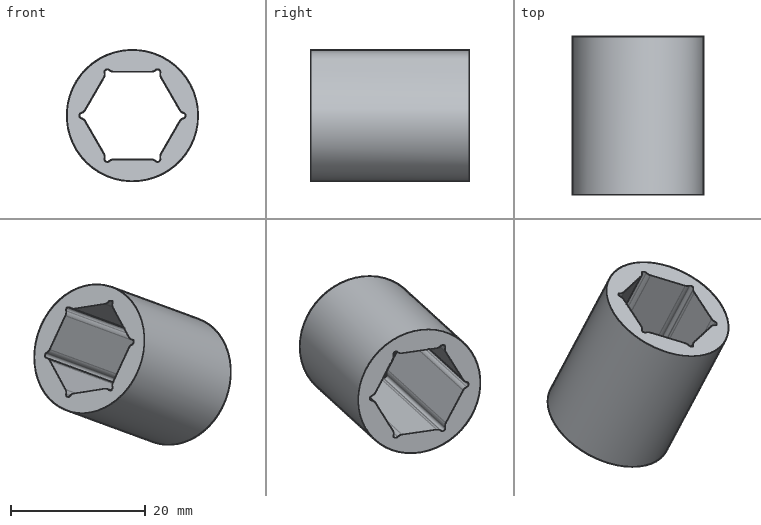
import cadquery as cq
import math

length = 23.53
outer_diameter = 19.53
across_flats = 12.97
groove_radius = 0.4
groove_center_radius = 7.45
blend_radius = 1.01

SIDES = 6
corner_angle = 360 / SIDES
half_corner = math.radians(corner_angle / 2)

flat_distance = across_flats / 2
blend_normal = flat_distance + blend_radius
groove_normal = groove_center_radius * math.cos(half_corner)
center_spacing = blend_radius + groove_radius
groove_along = groove_center_radius * math.sin(half_corner)
blend_along = groove_along - math.sqrt(center_spacing**2 - (blend_normal - groove_normal)**2)


def flat_to_section(normal, along):
    """Convert flat coordinates to section coordinates centred on the bore."""
    x = normal * math.cos(half_corner) + along * math.sin(half_corner)
    y = normal * math.sin(half_corner) - along * math.cos(half_corner)
    return x, y


def point_towards(start, end, distance):
    """Point at a distance from start on the line to end."""
    fraction = distance / math.dist(start, end)
    return tuple(a + (b - a) * fraction for a, b in zip(start, end))


def mirrored(point):
    return point[0], -point[1]


def rotated(point, degrees):
    angle = math.radians(degrees)
    x, y = point
    return (
        x * math.cos(angle) - y * math.sin(angle),
        x * math.sin(angle) + y * math.cos(angle),
    )


groove_center = (groove_center_radius, 0)
groove_tip = (groove_center_radius + groove_radius, 0)
blend_center = flat_to_section(blend_normal, blend_along)
blend_start = flat_to_section(flat_distance, blend_along)
blend_end = point_towards(blend_center, groove_center, blend_radius)
chord_middle = tuple((a + b) / 2 for a, b in zip(blend_start, blend_end))
blend_middle = point_towards(blend_center, chord_middle, blend_radius)


def bore_outline(section):
    """Hexagon with a rounded relief groove at each corner."""
    outline = section.moveTo(*mirrored(blend_start))
    for corner in range(SIDES):
        angle = corner * corner_angle
        if corner > 0:
            outline = outline.lineTo(*rotated(mirrored(blend_start), angle))
        for middle, end in (
            (mirrored(blend_middle), mirrored(blend_end)),
            (groove_tip, blend_end),
            (blend_middle, blend_start),
        ):
            outline = outline.threePointArc(rotated(middle, angle), rotated(end, angle))
    return outline.close()


section_plane = cq.Workplane("XZ", origin=(0, length / 2, 0))
sleeve = section_plane.circle(outer_diameter / 2).extrude(length)
bore = bore_outline(section_plane).extrude(length)
result = sleeve.cut(bore)